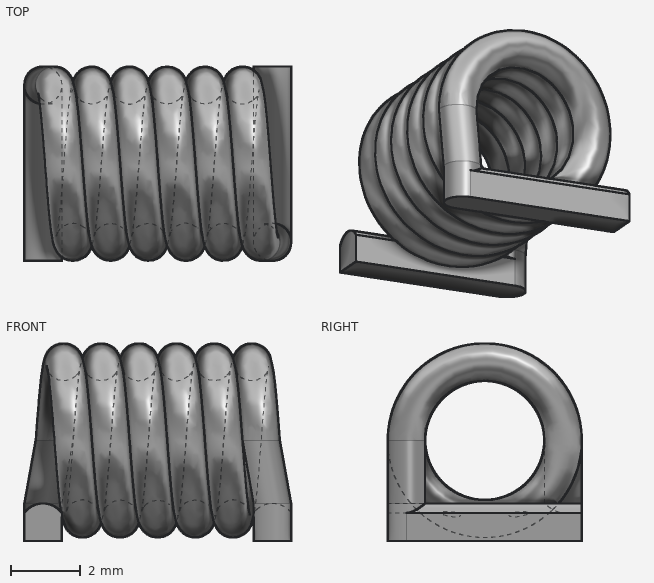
import cadquery as cq

length = 7.68
coil_diameter = 5.59
height = 5.69

wire_diameter = 1.075
pitch = 1.08
turns = 5.5

foot_height = 1.08
foot_width = 1.08
foot_side_height = 0.815

wire_radius = wire_diameter / 2
coil_radius = coil_diameter / 2
winding_radius = coil_radius - wire_radius
axis_height = height - coil_radius
coil_length = turns * pitch
coil_start = (length - coil_length) / 2
foot_center = foot_width / 2
column_y = coil_radius - foot_width / 2


def make_coil():
    """Round wire wound about an axis along X, starting at the back and rising over the top."""
    axis_plane = cq.Plane(origin=(coil_start, 0, axis_height), xDir=(0, 1, 0), normal=(1, 0, 0))
    helix = cq.Wire.makeHelix(pitch, coil_length, winding_radius).moved(cq.Location(axis_plane))
    section = cq.Workplane("XY", origin=(coil_start, winding_radius, axis_height)).circle(wire_radius)
    return section.sweep(cq.Workplane(obj=helix), isFrenet=True)


def make_foot():
    """Crowned bar along Y, closed at the back by a round column."""
    bar = (
        cq.Workplane("XZ", origin=(0, column_y, 0))
        .lineTo(foot_width, 0)
        .lineTo(foot_width, foot_side_height)
        .threePointArc((foot_center, foot_height), (0, foot_side_height))
        .close()
        .extrude(column_y + coil_radius)
    )
    column = (
        cq.Workplane("XY", origin=(foot_center, column_y, 0))
        .circle(foot_width / 2)
        .extrude(foot_height)
    )
    return bar.union(column)


def make_leg():
    """Slanted wire joining the column to the end of the coil, with level circular ends."""
    return (
        cq.Workplane("XY", origin=(foot_center, column_y, foot_height))
        .circle(foot_width / 2)
        .workplane(offset=axis_height - foot_height)
        .center(coil_start - foot_center, winding_radius - column_y)
        .circle(wire_radius)
        .loft(ruled=True)
    )


terminal = make_foot().union(make_leg())
opposite_terminal = terminal.rotate((length / 2, 0, 0), (length / 2, 0, 1), 180)
result = make_coil().union(terminal).union(opposite_terminal)